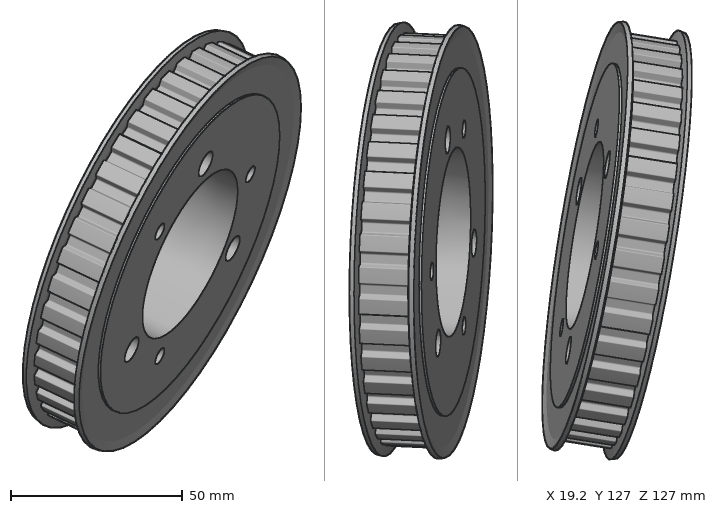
import cadquery as cq
import math

OUTER_RADIUS = 63.5
OVERALL_WIDTH = 19.2
HUB_RADIUS = 50.9

SHEET = 1.5
BEND_RADIUS = 60.2
BEND_ANGLE = math.radians(14)
EDGE_X = OVERALL_WIDTH / 2
EDGE_RADIUS = OUTER_RADIUS - SHEET * math.sin(BEND_ANGLE)
FLANGE_OUTER_X = EDGE_X - (EDGE_RADIUS - BEND_RADIUS) * math.tan(BEND_ANGLE)
FLANGE_INNER_X = FLANGE_OUTER_X - SHEET

TEETH = 40
TIP_RADIUS = 60.3
RIM_WIDTH = 2 * FLANGE_INNER_X

GROOVE_DEPTH = 2.2
GROOVE_FLOOR_WIDTH = 3.0
FLANK_ANGLE = math.radians(20)
FLOOR_FILLET = 0.5
TIP_FILLET = 0.32

BORE_RADIUS_LARGE = 27.7
BORE_RADIUS_SMALL = 27.0
BOLT_CIRCLE_RADIUS = 34.3
HOLES_PER_SET = 3
LARGE_HOLE_DIAMETER = 8.0
LARGE_HOLE_START = 75
SMALL_HOLE_DIAMETER = 5.2
SMALL_HOLE_START = 0

TOLERANCE = 0.06


def turned(profile):
    """Revolve a closed list of (x, radius) points about the X axis."""
    return cq.Workplane("XY").polyline(profile).close().revolve(360, (0, 0, 0), (1, 0, 0))


def bolt_holes(diameter, start_angle):
    holes = cq.Workplane("YZ").polarArray(BOLT_CIRCLE_RADIUS, start_angle, 360, HOLES_PER_SET)
    return holes.circle(diameter / 2).extrude(OVERALL_WIDTH, both=True)


def make_hub():
    profile = [
        (-EDGE_X, BORE_RADIUS_LARGE),
        (EDGE_X, BORE_RADIUS_SMALL),
        (EDGE_X, HUB_RADIUS),
        (-EDGE_X, HUB_RADIUS),
    ]
    hub = turned(profile)
    hub = hub.cut(bolt_holes(LARGE_HOLE_DIAMETER, LARGE_HOLE_START))
    return hub.cut(bolt_holes(SMALL_HOLE_DIAMETER, SMALL_HOLE_START)).solids()


def groove_cutter():
    """Groove on the +Y side, run past the tooth tips so that it cuts cleanly."""
    floor_radius = TIP_RADIUS - GROOVE_DEPTH
    top_radius = TIP_RADIUS + GROOVE_DEPTH
    half_floor = GROOVE_FLOOR_WIDTH / 2
    half_top = half_floor + (top_radius - floor_radius) * math.tan(FLANK_ANGLE)
    outline = [
        (floor_radius, -half_floor),
        (top_radius, -half_top),
        (top_radius, half_top),
        (floor_radius, half_floor),
    ]
    cutter = cq.Workplane("YZ").polyline(outline).close().extrude(RIM_WIDTH / 2, both=True)
    return cutter.edges("|X and <Y").fillet(FLOOR_FILLET)


def make_rim():
    rim = cq.Workplane("YZ").circle(TIP_RADIUS).circle(HUB_RADIUS).extrude(RIM_WIDTH / 2, both=True)
    cutter = groove_cutter()
    for i in range(TEETH):
        rim = rim.cut(cutter.rotate((0, 0, 0), (1, 0, 0), i * 360 / TEETH))
    tooth_corners = [
        edge for edge in rim.edges("|X").vals()
        if math.hypot(edge.Center().y, edge.Center().z) > TIP_RADIUS - TOLERANCE
    ]
    return rim.newObject(tooth_corners).fillet(TIP_FILLET).solids()


def make_flange(side):
    """Flange on the -X (side = -1) or +X (side = 1) face of the rim."""
    inner_bend_radius = BEND_RADIUS + SHEET * math.tan(BEND_ANGLE / 2)
    profile = [
        (FLANGE_INNER_X, HUB_RADIUS),
        (FLANGE_INNER_X, inner_bend_radius),
        (EDGE_X - SHEET * math.cos(BEND_ANGLE), OUTER_RADIUS),
        (EDGE_X, EDGE_RADIUS),
        (FLANGE_OUTER_X, BEND_RADIUS),
        (FLANGE_OUTER_X, HUB_RADIUS),
    ]
    return turned([(side * x, radius) for x, radius in profile])


hub = make_hub()
rim = make_rim()
flanges = [make_flange(side) for side in (-1, 1)]

result = cq.Compound.makeCompound([hub.val(), rim.val(), *[flange.val() for flange in flanges]])